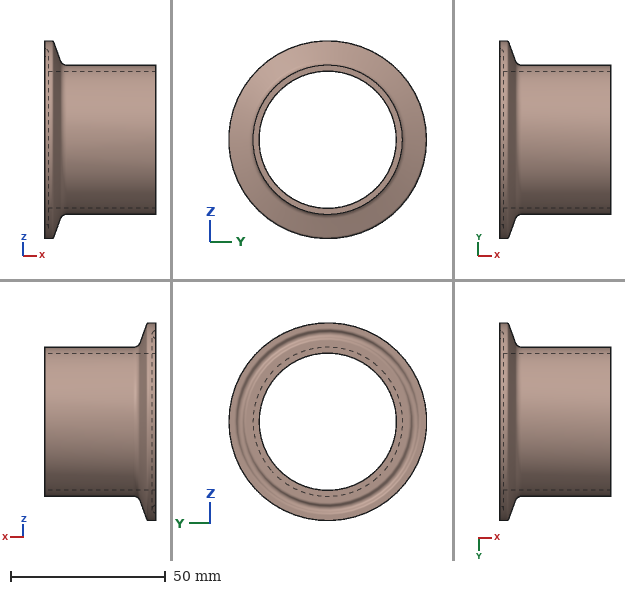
import cadquery as cq
import math

length = 36.0
bore_radius = 44.3 / 2
tube_radius = 48.3 / 2
flange_radius = 64.0 / 2

cone_angle = math.radians(20)
rim_width = 2.25
rim_round = 0.8
neck_round = 2.1

groove_radius = 28.25
groove_half_width = 2.0
lip_round = 1.0
wall_slope = math.radians(55)
wall_length = 0.4


def polar(center, radius, angle):
    """Point of a circle in the (X, radius) plane; the angle starts at +X."""
    return (
        center[0] + radius * math.cos(angle),
        center[1] + radius * math.sin(angle),
    )


def flange_section():
    """Half section of the solid ferrule, without the groove."""
    rim_center = (rim_width, flange_radius - rim_round)
    cone_start = polar(rim_center, rim_round, cone_angle)

    neck_center_r = tube_radius + neck_round
    cone_end_r = neck_center_r - neck_round * math.sin(cone_angle)
    cone_end_x = cone_start[0] + (cone_start[1] - cone_end_r) * math.tan(cone_angle)
    neck_center = (cone_end_x + neck_round * math.cos(cone_angle), neck_center_r)

    rim_mid_angle = (math.pi / 2 + cone_angle) / 2
    return (
        cq.Workplane("XY")
        .moveTo(0, bore_radius)
        .lineTo(0, flange_radius)
        .lineTo(rim_width, flange_radius)
        .threePointArc(polar(rim_center, rim_round, rim_mid_angle), cone_start)
        .lineTo(cone_end_x, cone_end_r)
        .threePointArc(
            polar(neck_center, neck_round, math.pi + rim_mid_angle),
            (neck_center[0], tube_radius),
        )
        .lineTo(length, tube_radius)
        .lineTo(length, bore_radius)
        .close()
    )


def groove_section():
    """Section of the groove: two rounded lips, sloped walls and a round bottom."""
    wall_top_x = lip_round * (1 - math.cos(wall_slope))
    wall_top_half = groove_half_width - lip_round * math.sin(wall_slope)
    wall_bottom_x = wall_top_x + wall_length * math.sin(wall_slope)
    wall_bottom_half = wall_top_half - wall_length * math.cos(wall_slope)
    bottom_round = wall_bottom_half / math.sin(wall_slope)
    depth = wall_bottom_x + bottom_round * (1 - math.cos(wall_slope))

    lip_mid_x = lip_round * (1 - math.cos(wall_slope / 2))
    lip_mid_half = groove_half_width - lip_round * math.sin(wall_slope / 2)
    return (
        cq.Workplane("XY")
        .moveTo(0, groove_radius - groove_half_width)
        .threePointArc(
            (lip_mid_x, groove_radius - lip_mid_half),
            (wall_top_x, groove_radius - wall_top_half),
        )
        .lineTo(wall_bottom_x, groove_radius - wall_bottom_half)
        .threePointArc(
            (depth, groove_radius),
            (wall_bottom_x, groove_radius + wall_bottom_half),
        )
        .lineTo(wall_top_x, groove_radius + wall_top_half)
        .threePointArc(
            (lip_mid_x, groove_radius + lip_mid_half),
            (0, groove_radius + groove_half_width),
        )
        .close()
    )


def revolve_about_x(section):
    return section.revolve(360, (0, 0, 0), (1, 0, 0))


result = revolve_about_x(flange_section()).cut(revolve_about_x(groove_section()))